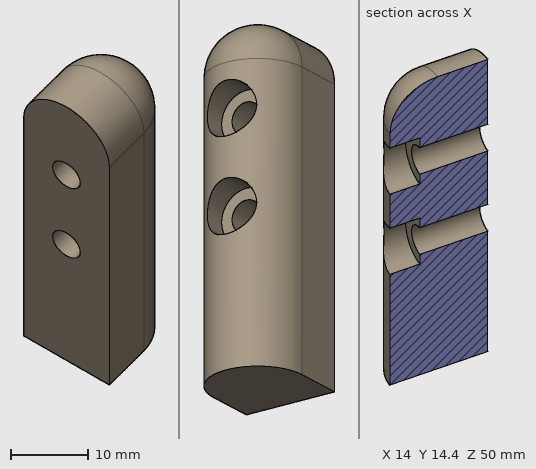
import cadquery as cq

width = 14.0
height = 50.0
depth = 14.4
hole_diameter = 4.5
counterbore_diameter = 7.8
counterbore_floor_from_front = 10.0
upper_hole_z = 36.6
hole_spacing = 13.7

radius = width / 2
dome_z = height - radius
round_y = depth - radius
hole_heights = (upper_hole_z, upper_hole_z - hole_spacing)


def make_front_block():
    """Flat-faced slab with a semicircular top, from y = 0 back to round_y."""
    profile = (
        cq.Workplane("XZ")
        .moveTo(-radius, 0)
        .lineTo(radius, 0)
        .lineTo(radius, dome_z)
        .threePointArc((0, height), (-radius, dome_z))
        .close()
    )
    return profile.extrude(-round_y)


def make_rounded_back():
    """Vertical cylinder capped by a sphere, which rounds the back and the top."""
    column = cq.Workplane("XY").center(0, round_y).circle(radius).extrude(dome_z)
    dome = cq.Workplane("XY").sphere(radius).translate((0, round_y, dome_z))
    return column.union(dome)


def make_rear_counterbored_hole(z):
    """Cutter for a through hole along Y that widens toward the back."""
    hole = cq.Workplane("XZ").center(0, z).circle(hole_diameter / 2).extrude(-depth)
    counterbore = (
        cq.Workplane("XZ", origin=(0, counterbore_floor_from_front, 0))
        .center(0, z)
        .circle(counterbore_diameter / 2)
        .extrude(counterbore_floor_from_front - depth)
    )
    return hole.union(counterbore)


result = make_front_block().union(make_rounded_back())
for hole_z in hole_heights:
    result = result.cut(make_rear_counterbored_hole(hole_z))